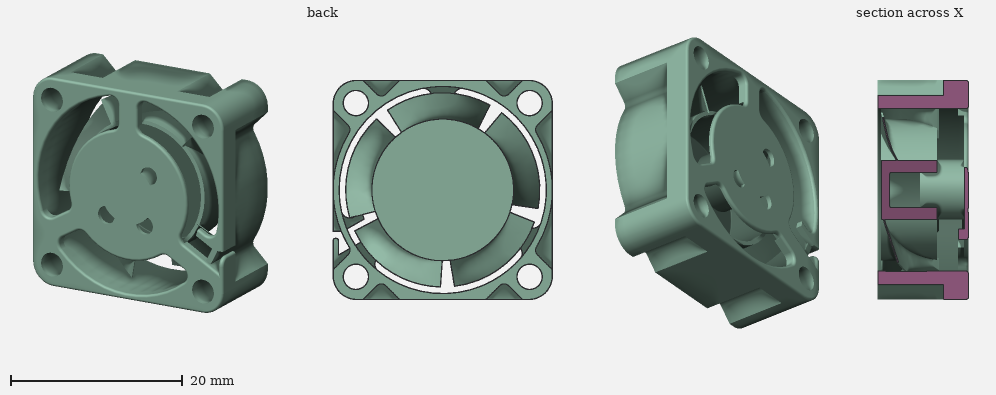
import cadquery as cq
import math


side = 25.55
half = side / 2
depth = 10.6
corner_radius = 2.75
flange_depth = 3.0
edge_round = 0.3
hole_spacing = 20.25
hole_diameter = 2.91

bore_radius = 12.06
barrel_radius = half
plate_radius = 7.95
plate_depth = 0.5
spoke_depth = 1.2
spoke_start_radius = 8.75
spoke_half_width = 1.28
spoke_angles = (90.0, 210.0, 330.0)
cable_spoke_shift = -1.76
spoke_shifts = (0.0, 0.0, cable_spoke_shift)
window_corner_radius = 1.0

flat_half_width = 5.0
post_start = 9.3
relief_radius = 0.77

cable_angle = spoke_angles[2]
channel_low = cable_spoke_shift + spoke_half_width
channel_high = 1.64
tongue_high = 2.45
tongue_tip_radius = 9.76
tongue_depth = 0.77
outlet_top = -4.83
outlet_bottom = -5.62
hook_inner_x = 12.15
hook_round = 1.07
web_front = 0.5

boss_radius = 3.5
boss_end = 5.67
pin_hole_radius = 1.1
pin_hole_circle = 4.01
pin_hole_angles = (45.0, 225.0, 305.0)

hub_radius = 8.25
cup_radius = 7.77
rim_y = 3.65
cup_floor_y = 9.2
rotor_back_y = 10.22
cup_round = 0.1
blade_count = 5
blade_tip_radius = 11.32
blade_root_radius = (hub_radius + cup_radius) / 2
blade_front_y = 3.43
blade_thickness = 0.2
blade_drop = rotor_back_y - blade_front_y - blade_thickness
blade_curvature = 0.7
blade_stations = 9
first_gap_angle = 51.2
root_gap_half_angle = 3.0
tip_gap_half_angle = 4.1
blade_pitch = 360.0 / blade_count

overshoot = 2.55
overlap = 0.25
match_tolerance = 0.03


def plane_at(y):
    """Sketch plane facing -Y at the given depth, with local axes along X and Z."""
    return cq.Workplane("XZ", origin=(0, y, 0))


def cylinder(radius, y_start, y_end):
    return plane_at(y_start).circle(radius).extrude(y_start - y_end)


def ring(outer, inner, y_start, y_end):
    return plane_at(y_start).circle(outer).circle(inner).extrude(y_start - y_end)


def block(x_range, z_range, y_range):
    """Axis-aligned box given by its limits."""
    size = [high - low for low, high in (x_range, y_range, z_range)]
    corner = cq.Vector(x_range[0], y_range[0], z_range[0])
    return cq.Workplane(cq.Solid.makeBox(*size, corner))


def radial_bar(angle, low, high, y_end):
    """Bar from the axis outwards along an angle, reaching across it from low to high."""
    bar = block((0, side), (low, high), (0, y_end))
    return bar.rotate((0, 0, 0), (0, 1, 0), -angle)


def polar(radius, angle):
    return (radius * math.cos(math.radians(angle)), radius * math.sin(math.radians(angle)))


def across_cable_spoke(point):
    """Signed distance of a point from the radial line along the cable spoke."""
    angle = math.radians(cable_angle)
    return point.z * math.cos(angle) - point.x * math.sin(angle)



def make_flange():
    flange = block((-half, half), (-half, half), (0, flange_depth))
    return flange.edges("|Y").fillet(corner_radius)


def make_rear_frame():
    """Corner posts, top and bottom flats and the round duct behind the flange."""
    valley_x = (flat_half_width + post_start) / 2
    valley_z = half - (post_start - valley_x)
    post_offset = half - post_start
    barrel_z = (math.sqrt(2 * barrel_radius**2 - post_offset**2) - post_offset) / 2
    barrel_x = barrel_z + post_offset
    arc_start = half - corner_radius
    arc_mid = arc_start + corner_radius * math.sqrt(0.5)
    outline = (
        plane_at(flange_depth)
        .moveTo(0, half)
        .lineTo(flat_half_width, half)
        .lineTo(valley_x, valley_z)
        .lineTo(post_start, half)
        .lineTo(arc_start, half)
        .threePointArc((arc_mid, arc_mid), (half, arc_start))
        .lineTo(half, post_start)
        .lineTo(barrel_x, barrel_z)
        .threePointArc((barrel_radius, 0), (barrel_x, -barrel_z))
        .lineTo(half, -post_start)
        .lineTo(half, -arc_start)
        .threePointArc((arc_mid, -arc_mid), (arc_start, -half))
        .lineTo(post_start, -half)
        .lineTo(valley_x, -valley_z)
        .lineTo(flat_half_width, -half)
        .lineTo(0, -half)
        .mirrorY()
    )
    frame = outline.extrude(flange_depth - depth)
    corners = [(valley_x, valley_z), (barrel_x, barrel_z)]

    def is_relief_corner(edge):
        spot = edge.Center()
        return any(math.hypot(abs(spot.x) - x, abs(spot.z) - z) < match_tolerance for x, z in corners)

    return frame.edges("|Y").filter(is_relief_corner).fillet(relief_radius)


def make_windows():
    """Three openings between the spokes; the tongue by the cable spoke narrows one of them."""
    windows = ring(bore_radius, plate_radius, 0, spoke_depth)
    for angle, shift in zip(spoke_angles, spoke_shifts):
        spoke = radial_bar(angle, shift - spoke_half_width, shift + spoke_half_width, spoke_depth)
        windows = windows.cut(spoke)
    tongue = radial_bar(cable_angle, channel_low, tongue_high, spoke_depth)
    windows = windows.cut(tongue.cut(cylinder(tongue_tip_radius, 0, spoke_depth)))

    def is_round_corner(edge):
        spot = edge.Center()
        return abs(math.hypot(spot.x, spot.z) - tongue_tip_radius) > match_tolerance

    return windows.edges("|Y").filter(is_round_corner).fillet(window_corner_radius)


def make_tongue_relief():
    """Clearance that leaves the tongue thinner than the spokes."""
    reach = radial_bar(cable_angle, channel_high, tongue_high + window_corner_radius, spoke_depth)
    return reach.intersect(ring(bore_radius, tongue_tip_radius - overlap, tongue_depth, spoke_depth))


def make_cable_channel():
    """Passage beside the cable spoke, through the flange and out at the +X side."""
    channel = radial_bar(cable_angle, channel_low, channel_high, flange_depth)
    channel = channel.intersect(block((0, hook_inner_x), (-half, 0), (0, flange_depth)))
    channel = channel.cut(cylinder(tongue_tip_radius - overlap, 0, flange_depth))
    slope = math.radians(cable_angle)
    outlet_start = (outlet_top * math.cos(slope) - channel_high) / math.sin(slope)
    outlet = block((outlet_start, half + overshoot), (outlet_bottom, outlet_top), (0, flange_depth))
    web = ring(barrel_radius, bore_radius, web_front, flange_depth)
    return channel.union(outlet).cut(web)


def make_hook_rounding():
    """Waste outside the rounded front corner of the hook beside the cable outlet."""
    x_range = (hook_inner_x, half)
    corner = block(x_range, (outlet_bottom - hook_round, outlet_bottom), (0, hook_round))
    roller = (
        cq.Workplane("YZ", origin=(x_range[0], 0, 0))
        .center(hook_round, outlet_bottom - hook_round)
        .circle(hook_round)
        .extrude(x_range[1] - x_range[0])
    )
    return corner.cut(roller)


def is_rounded_front_edge(edge):
    """True for the outer rim, window and hook edges; the tongue and outlet stay sharp."""
    spot = edge.Center()
    on_cable_outlet = (
        math.hypot(spot.x, spot.z) > tongue_tip_radius - overlap
        and channel_high / 2 < across_cable_spoke(spot) < tongue_high - overlap / 2
    )
    return not on_cable_outlet


def make_housing():
    body = make_flange().union(make_rear_frame())
    body = body.cut(cylinder(bore_radius, spoke_depth, depth))
    body = body.cut(cylinder(spoke_start_radius, plate_depth, spoke_depth))
    body = body.cut(make_windows()).cut(make_tongue_relief())
    body = body.cut(make_cable_channel()).cut(make_hook_rounding())
    body = body.faces("<Y").edges().filter(is_rounded_front_edge).fillet(edge_round)
    mounting_holes = (
        plane_at(0).rect(hole_spacing, hole_spacing, forConstruction=True)
        .vertices().circle(hole_diameter / 2).extrude(-depth)
    )
    pin_holes = (
        plane_at(0).pushPoints([polar(pin_hole_circle, angle) for angle in pin_hole_angles])
        .circle(pin_hole_radius).extrude(-plate_depth)
    )
    boss = cylinder(boss_radius, 0, boss_end)
    return body.cut(mounting_holes).cut(pin_holes).union(boss)



def make_hub():
    """Cup open towards the spoked plate."""
    cup = cylinder(cup_radius, rim_y, cup_floor_y).faces(">Y").edges().fillet(cup_round)
    return cylinder(hub_radius, rim_y, rotor_back_y).cut(cup)


def blade_edge(radius, gap_half_angle, start_angle, y_shift):
    """Curve along a blade at one radius; it falls steeply at first, then flattens out."""
    span = blade_pitch - 2 * gap_half_angle
    points = []
    for station in range(blade_stations):
        travel = station / (blade_stations - 1)
        x, z = polar(radius, start_angle - gap_half_angle - travel * span)
        fall = (1 + blade_curvature) * travel - blade_curvature * travel**2
        points.append(cq.Vector(x, blade_front_y + y_shift + blade_drop * fall, z))
    return cq.Edge.makeSpline(points)


def make_blade(start_angle):
    """Twisted plate between root and tip curves, ending at the gap at the start angle."""
    curves = []
    for y_shift in (0, blade_thickness):
        curves.append(blade_edge(blade_root_radius, root_gap_half_angle, start_angle, y_shift))
        curves.append(blade_edge(blade_tip_radius, tip_gap_half_angle, start_angle, y_shift))
    front_root, front_tip, back_root, back_tip = curves
    faces = [
        cq.Face.makeRuledSurface(front_root, front_tip),
        cq.Face.makeRuledSurface(back_root, back_tip),
        cq.Face.makeRuledSurface(front_root, back_root),
        cq.Face.makeRuledSurface(front_tip, back_tip),
    ]
    for end in (cq.Edge.startPoint, cq.Edge.endPoint):
        corners = [end(curve) for curve in (front_root, front_tip, back_tip, back_root)]
        faces.append(cq.Face.makeFromWires(cq.Wire.makePolygon(corners, close=True)))
    return cq.Workplane(cq.Solid.makeSolid(cq.Shell.makeShell(faces)))


def make_rotor():
    rotor = make_hub()
    for index in range(blade_count):
        rotor = rotor.union(make_blade(first_gap_angle + index * blade_pitch))
    return rotor


housing = make_housing()
rotor = make_rotor()

result = cq.Compound.makeCompound([housing.solids().val(), rotor.solids().val()])